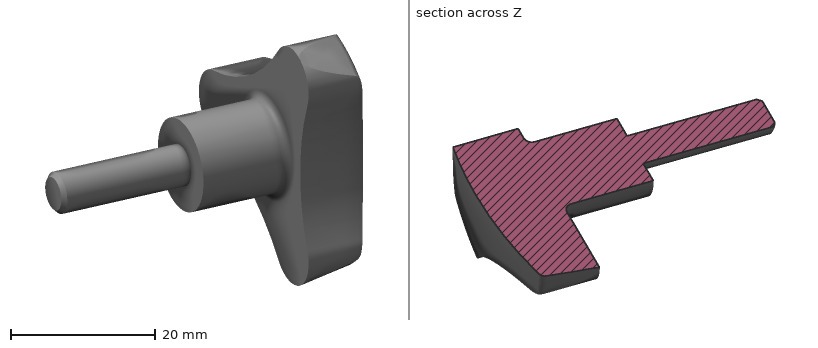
import cadquery as cq
import math


head_height = 10.5
lobe_count = 3
lobe_tip_radius = 20.0
lobe_radius = 5.0
waist_radius = 10.0
dome_radius = 75.0
side_taper = 9.0
rim_fillet = 1.0

hub_diameter = 13.5
hub_length = 13.45
hub_fillet = 1.2
stud_diameter = 6.0
stud_length = 43.95 - head_height - hub_length
stud_chamfer = 0.6

lobe_center_radius = lobe_tip_radius - lobe_radius
lobe_pitch = 2 * math.pi / lobe_count


def polar(radius, angle):
    return (radius * math.cos(angle), radius * math.sin(angle))


def make_lobed_prism():
    """Lobe arcs joined by concave arcs that are tangent to both neighbouring lobes."""
    half_pitch = lobe_pitch / 2
    lobe_across = lobe_center_radius * math.sin(half_pitch)
    lobe_along = lobe_center_radius * math.cos(half_pitch)
    waist_offset = waist_radius - lobe_along
    lobe_gap_squared = lobe_across**2 + waist_offset**2 - lobe_radius**2
    concave_radius = lobe_gap_squared / (2 * (lobe_radius - waist_offset))
    concave_center_radius = waist_radius + concave_radius

    lobe_share = concave_radius / (concave_radius + lobe_radius)
    tangent_along = concave_center_radius + lobe_share * (lobe_along - concave_center_radius)
    tangent_across = lobe_share * lobe_across
    tangent_radius = math.hypot(tangent_along, tangent_across)
    tangent_angle = math.atan2(tangent_across, tangent_along)

    first_waist = math.pi - half_pitch
    outline = cq.Workplane("XZ").moveTo(*polar(tangent_radius, first_waist - tangent_angle))
    for index in range(lobe_count):
        waist = first_waist + index * lobe_pitch
        next_waist = waist + lobe_pitch
        outline = outline.threePointArc(
            polar(waist_radius, waist),
            polar(tangent_radius, waist + tangent_angle),
        )
        outline = outline.threePointArc(
            polar(lobe_tip_radius, waist + half_pitch),
            polar(tangent_radius, next_waist - tangent_angle),
        )
    return outline.close().extrude(-head_height)


def make_domed_blank():
    """Tapered round blank with a spherical top and a rounded rim."""
    dome_center = head_height - dome_radius
    taper = math.radians(side_taper)
    side_along = lobe_tip_radius * math.sin(taper) + dome_center * math.cos(taper)
    side_away = lobe_tip_radius * math.cos(taper) - dome_center * math.sin(taper)
    side_length = math.sqrt(dome_radius**2 - side_away**2) + side_along
    rim_radius = lobe_tip_radius - side_length * math.sin(taper)
    rim_height = side_length * math.cos(taper)

    half_dome_angle = math.asin(rim_radius / dome_radius) / 2
    dome_middle = (
        dome_radius * math.sin(half_dome_angle),
        dome_center + dome_radius * math.cos(half_dome_angle),
    )
    blank = (
        cq.Workplane("XY")
        .lineTo(lobe_tip_radius, 0)
        .lineTo(rim_radius, rim_height)
        .threePointArc(dome_middle, (0, head_height))
        .close()
        .revolve(360, (0, 0), (0, 1))
    )
    return blank.faces("%CONE").edges("%CIRCLE").edges(">Y").fillet(rim_fillet)


def make_hub():
    """Cylindrical hub flaring with a concave fillet into the head."""
    hub_radius = hub_diameter / 2
    flare_middle = hub_fillet * (1 - math.sqrt(0.5))
    return (
        cq.Workplane("XY")
        .lineTo(hub_radius + hub_fillet, 0)
        .threePointArc((hub_radius + flare_middle, -flare_middle), (hub_radius, -hub_fillet))
        .lineTo(hub_radius, -hub_length)
        .lineTo(0, -hub_length)
        .close()
        .revolve(360, (0, 0), (0, 1))
    )


def make_stud():
    return (
        cq.Workplane("XZ", origin=(0, -hub_length, 0))
        .circle(stud_diameter / 2)
        .extrude(stud_length)
        .faces("<Y")
        .chamfer(stud_chamfer)
    )


head = make_lobed_prism().intersect(make_domed_blank())
result = head.union(make_hub()).union(make_stud())